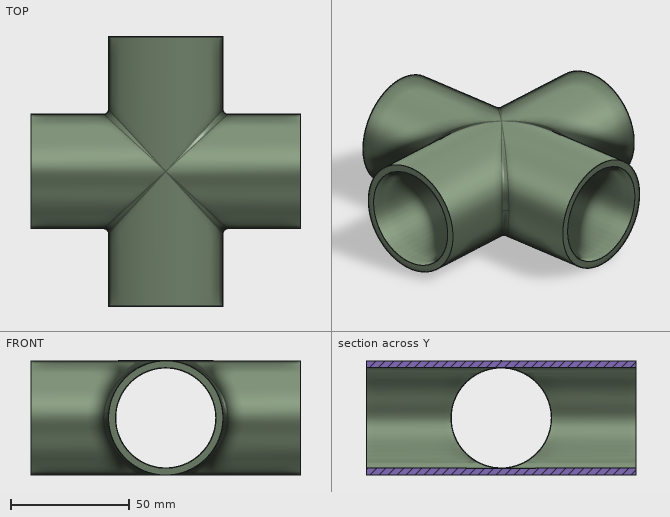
import cadquery as cq

overall_length = 114.0
outer_diameter = 48.3
bore_diameter = 42.3
junction_fillet_radius = 2.0


def crossed_cylinders(diameter):
    """Two equal cylinders along X and Y, crossing at the origin."""
    arm_length = overall_length / 2
    along_x = cq.Workplane("YZ").circle(diameter / 2).extrude(arm_length, both=True)
    along_y = cq.Workplane("XZ").circle(diameter / 2).extrude(arm_length, both=True)
    return along_x.union(along_y)


outer_body = crossed_cylinders(outer_diameter)
outer_body = outer_body.edges("%ELLIPSE").fillet(junction_fillet_radius)

bores = crossed_cylinders(bore_diameter)
pipe_cross = outer_body.cut(bores)

result = cq.Workplane(pipe_cross.solids().val())